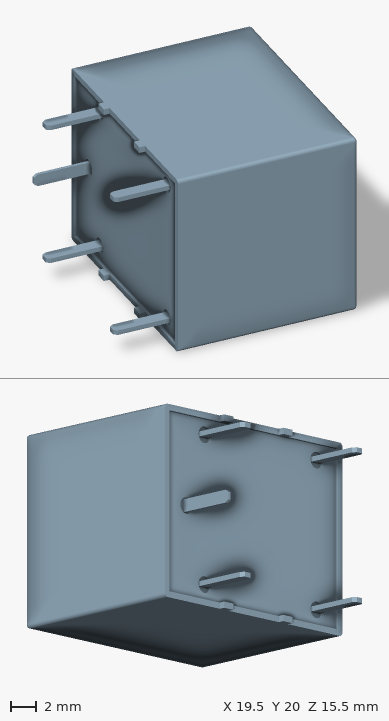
import cadquery as cq

case_width = 19.5
case_depth = 15.5
case_height = 15.5
edge_radius = 0.3
rim_thickness = 0.5
floor_recess = 0.25

tab_width = 1.0
tab_length = 0.5
tab_spacing = 6.5

pin_reach = 4.5
pin_width = 1.05
pin_thickness = 0.4
side_pin_thickness = 0.25
pin_tip_taper = 0.32
pin_tip_inset = 0.22
pin_row_height = 6.0
left_pins_x = -5.15
right_pins_x = 7.15
side_pin_x = -7.15
well_diameter = 1.32
well_depth = 0.2

overall_depth = case_depth + pin_reach
back_y = overall_depth / 2
rim_y = back_y - case_depth
floor_y = rim_y + floor_recess
well_bottom_y = floor_y + well_depth
pin_tip_y = rim_y - pin_reach


def make_case():
    """Box with rounded long edges and back, recessed inside the rim."""
    case = (
        cq.Workplane("XY")
        .box(case_width, case_depth, case_height)
        .edges("|Y or >Y")
        .fillet(edge_radius)
        .translate((0, rim_y + case_depth / 2, 0))
    )
    recess = cq.Workplane("XY").box(
        case_width - 2 * rim_thickness,
        floor_recess,
        case_height - 2 * rim_thickness,
    )
    return case.cut(recess.translate((0, rim_y + floor_recess / 2, 0)))


def make_tab(x, side):
    """Tab continuing the rim toward -Y; side is +1 at the top, -1 at the bottom."""
    z = side * (case_height - rim_thickness) / 2
    depth = tab_length + floor_recess
    tab = cq.Workplane("XY").box(tab_width, depth, rim_thickness)
    return tab.translate((x, floor_y - depth / 2, z))


def make_well(x, z):
    """Round clearance well around a pin."""
    well = cq.Workplane("XZ", origin=(x, well_bottom_y, z))
    return well.circle(well_diameter / 2).extrude(well_depth)


def make_pin(x, z, thickness, upright=False):
    """Flat pin with bevelled tip corners; an upright pin has its width along Z."""
    half_width = pin_width / 2
    half_tip = half_width - pin_tip_inset
    taper_y = pin_tip_y + pin_tip_taper
    outline = [
        (-half_width, well_bottom_y),
        (-half_width, taper_y),
        (-half_tip, pin_tip_y),
        (half_tip, pin_tip_y),
        (half_width, taper_y),
        (half_width, well_bottom_y),
    ]
    pin = cq.Workplane("XY").polyline(outline).close().extrude(thickness / 2, both=True)
    if upright:
        pin = pin.rotate((0, 0, 0), (0, 1, 0), 90)
    return pin.translate((x, 0, z))


result = make_case()

for tab_x in (-tab_spacing / 2, tab_spacing / 2):
    for tab_side in (-1, 1):
        result = result.union(make_tab(tab_x, tab_side))

for pin_x in (left_pins_x, right_pins_x):
    for pin_z in (-pin_row_height, pin_row_height):
        result = result.cut(make_well(pin_x, pin_z))
        result = result.union(make_pin(pin_x, pin_z, pin_thickness))

result = result.cut(make_well(side_pin_x, 0))
result = result.union(make_pin(side_pin_x, 0, side_pin_thickness, upright=True))